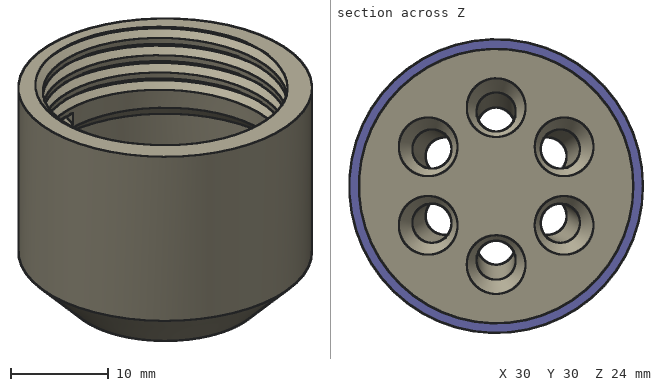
import cadquery as cq
import math

outer_radius = 15.0
height = 24.0
base_chamfer = 5.0

neck_radius = 25.0 / 2
chamber_radius = 28.0 / 2
floor_z = 5.0
neck_bottom_z = 15.0
chamber_top_z = neck_bottom_z - (chamber_radius - neck_radius)

thread_pitch = 6 / 3
thread_depth = 1.0
thread_root_width = 0.18
thread_flank_angle = 30.0
thread_turns_below_rim = 4
cutter_overlap = 0.05
cutter_top_z = height + 2 * thread_pitch

hole_count = 6
hole_circle_radius = 8.0
hole_diameter = 4.0
hole_tilt = 23.5
countersink_diameter = 6.0
countersink_depth = countersink_diameter / 2


def make_body():
    blank = cq.Workplane("XY").circle(outer_radius).extrude(height)
    return blank.faces("<Z").chamfer(base_chamfer)


def make_cavity():
    """Revolved cavity; a 45 degree shoulder joins the chamber to the neck."""
    profile = [
        (0, floor_z),
        (chamber_radius, floor_z),
        (chamber_radius, chamber_top_z),
        (neck_radius, neck_bottom_z),
        (neck_radius, cutter_top_z),
        (0, cutter_top_z),
    ]
    return cq.Workplane("XZ").polyline(profile).close().revolve(360, (0, 0), (0, 1))


def make_thread_cutter():
    """Right-hand groove whose root meets the rim on the -X side."""
    start_z = height - thread_turns_below_rim * thread_pitch
    length = (thread_turns_below_rim + 1) * thread_pitch
    inner_radius = neck_radius - cutter_overlap
    root_radius = neck_radius + thread_depth
    root_half_width = thread_root_width / 2
    flank_rise = (root_radius - inner_radius) * math.tan(math.radians(thread_flank_angle))
    mouth_half_width = root_half_width + flank_rise
    helix = cq.Workplane(obj=cq.Wire.makeHelix(thread_pitch, length, neck_radius))
    groove = (
        cq.Workplane("XZ")
        .polyline([
            (inner_radius, -mouth_half_width),
            (root_radius, -root_half_width),
            (root_radius, root_half_width),
            (inner_radius, mouth_half_width),
        ])
        .close()
        .sweep(helix, isFrenet=True)
    )
    return groove.rotate((0, 0, 0), (0, 0, 1), 180).translate((0, 0, start_z))


def make_hole_cutter():
    """One countersunk hole on the +Y side, slanting towards the axis as it descends."""
    drill_half_length = 2 * floor_z
    drill = (
        cq.Workplane("XY")
        .circle(hole_diameter / 2)
        .extrude(drill_half_length, both=True)
        .rotate((0, 0, 0), (1, 0, 0), -hole_tilt)
    )
    countersink = cq.Workplane(obj=cq.Solid.makeCone(
        0, countersink_diameter / 2, countersink_depth,
        pnt=cq.Vector(0, 0, -countersink_depth),
    ))
    drill = drill.intersect(
        cq.Workplane("XY").circle(outer_radius).extrude(-drill_half_length)
    )
    return drill.union(countersink).translate((0, hole_circle_radius, floor_z))


result = make_body().cut(make_cavity().union(make_thread_cutter()))
hole_cutter = make_hole_cutter()
for index in range(hole_count):
    result = result.cut(hole_cutter.rotate((0, 0, 0), (0, 0, 1), index * 360 / hole_count))